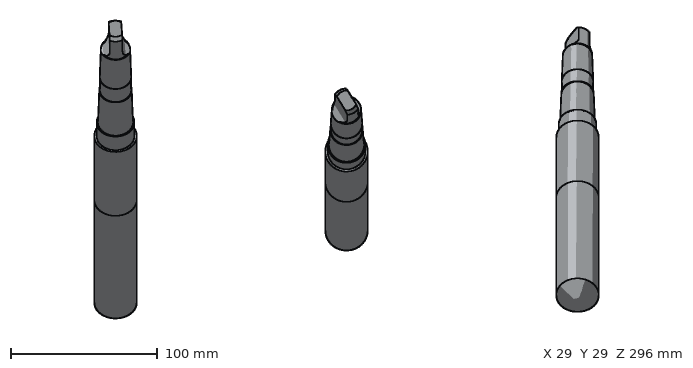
import cadquery as cq
import math

total_length = 296.0
body_split_z = 116.3
body_top_z = 183.2
collar_top_z = 197.5
neck_bottom_z = 231.2
neck_top_z = 244.8
taper_top_z = 274.5

body_diameter = 29.0
collar_diameter = 25.8
neck_diameter = 21.3
taper_large_diameter = 24.0
taper_ratio = 0.05
tang_diameter = 19.0

point_angle = 118.0

tang_thickness = 8.5
tang_angle = 20.0
tang_flat_bottom_z = 281.2
tang_root_radius = 8.0
tang_chamfer = 2.5
dome_height = 0.5


def taper_radius(z):
    """Radius of the shank taper at height z."""
    return (taper_large_diameter - taper_ratio * (z - collar_top_z)) / 2


def make_cutting_part():
    """Cylindrical cutting length with a conical point."""
    radius = body_diameter / 2
    point_length = radius / math.tan(math.radians(point_angle / 2))
    return (
        cq.Workplane("XZ")
        .moveTo(0, 0)
        .lineTo(radius, point_length)
        .lineTo(radius, body_split_z)
        .lineTo(0, body_split_z)
        .close()
        .revolve(360, (0, 0, 0), (0, 1, 0))
    )


def make_turned_shank():
    """Plain body, collar, relieved taper and domed, chamfered round blank of the tang."""
    body_radius = body_diameter / 2
    collar_radius = collar_diameter / 2
    neck_radius = neck_diameter / 2
    tang_radius = tang_diameter / 2
    dome_rim_radius = tang_radius - tang_chamfer
    dome_rim_z = total_length - dome_height

    dome_radius = (dome_rim_radius**2 + dome_height**2) / (2 * dome_height)
    dome_mid_x = dome_rim_radius / 2
    dome_mid_z = total_length - dome_radius + math.sqrt(dome_radius**2 - dome_mid_x**2)

    return (
        cq.Workplane("XZ")
        .moveTo(0, body_split_z)
        .lineTo(body_radius, body_split_z)
        .lineTo(body_radius, body_top_z)
        .lineTo(collar_radius, body_top_z)
        .lineTo(collar_radius, collar_top_z)
        .lineTo(taper_radius(collar_top_z), collar_top_z)
        .lineTo(taper_radius(neck_bottom_z), neck_bottom_z)
        .lineTo(neck_radius, neck_bottom_z)
        .lineTo(neck_radius, neck_top_z)
        .lineTo(taper_radius(neck_top_z), neck_top_z)
        .lineTo(taper_radius(taper_top_z), taper_top_z)
        .lineTo(tang_radius, taper_top_z)
        .lineTo(tang_radius, dome_rim_z - tang_chamfer)
        .lineTo(dome_rim_radius, dome_rim_z)
        .threePointArc((dome_mid_x, dome_mid_z), (0, total_length))
        .close()
        .revolve(360, (0, 0, 0), (0, 1, 0))
    )


def make_flat_cutter(turn):
    """Removes one side of the tang, with a concave radius at the root."""
    flat_x = tang_thickness / 2
    arc_offset = tang_root_radius * math.sqrt(0.5)
    arc_center_x = flat_x + tang_root_radius
    outer_x = body_diameter
    return (
        cq.Workplane("XZ")
        .moveTo(flat_x, total_length)
        .lineTo(flat_x, tang_flat_bottom_z)
        .threePointArc(
            (arc_center_x - arc_offset, tang_flat_bottom_z - arc_offset),
            (arc_center_x, tang_flat_bottom_z - tang_root_radius),
        )
        .lineTo(outer_x, tang_flat_bottom_z - tang_root_radius)
        .lineTo(outer_x, total_length)
        .close()
        .extrude(body_diameter / 2, both=True)
        .rotate((0, 0, 0), (0, 0, 1), turn)
    )


def make_shank():
    """Taper shank with two opposite flats on its tang."""
    shank = make_turned_shank()
    for turn in (tang_angle, tang_angle + 180):
        shank = shank.cut(make_flat_cutter(turn))
    return shank


cutting_part = make_cutting_part()
shank = make_shank()

result = cq.Compound.makeCompound([cutting_part.val(), shank.val()])